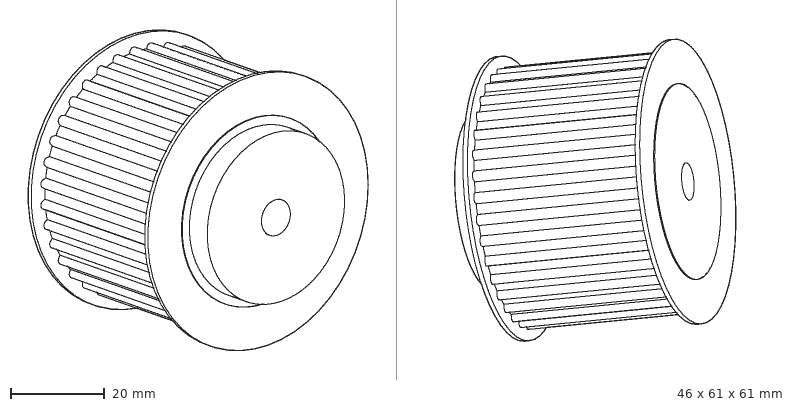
import cadquery as cq
import math


flange_span = 40.0
hub_length = 6.0
sheet_thickness = 1.05
dish_depth = 0.25

flange_diameter = 61.0
disc_diameter = 58.1
shoulder_diameter = 41.95
hub_diameter = 38.0
bore_diameter = 8.0

tooth_count = 36
tip_diameter = 56.1
tooth_height = 1.15
tip_width = 1.3
tip_radius = 0.8
flank_angle = 25.0

pitch_angle = 360.0 / tooth_count
tip_height = tip_diameter / 2
root_height = tip_height - tooth_height
flange_depth = dish_depth + sheet_thickness
toothed_length = flange_span - 2 * flange_depth
tooth_foot_depth = 0.3


def cylinder(diameter, start, length):
    """Cylinder along X that begins at X = start."""
    return cq.Workplane("YZ", origin=(start, 0, 0)).circle(diameter / 2).extrude(length)


def make_tooth():
    """One straight tooth pointing to +Z, with rounded tip corners."""
    foot_height = root_height - tooth_foot_depth
    tip_half = tip_width / 2
    foot_half = tip_half + (tip_height - foot_height) * math.tan(math.radians(flank_angle))
    outline = [
        (-foot_half, foot_height),
        (-tip_half, tip_height),
        (tip_half, tip_height),
        (foot_half, foot_height),
    ]
    start_plane = cq.Workplane("YZ", origin=(flange_depth, 0, 0))
    blank = start_plane.polyline(outline).close().extrude(toothed_length)
    return blank.faces(">Z").edges("|X").fillet(tip_radius)


def make_toothed_body():
    """Root cylinder with the teeth around it; a gap, not a tooth, is centred on +Z."""
    body = cylinder(2 * root_height, flange_depth, toothed_length)
    tooth = make_tooth()
    for index in range(tooth_count):
        body = body.union(tooth.rotate((0, 0, 0), (1, 0, 0), (index + 0.5) * pitch_angle))
    return body


def make_flange():
    """Flange at the X = 0 end: a flat disc whose rim is bent outward to X = 0."""
    disc_radius = disc_diameter / 2
    rim_radius = flange_diameter / 2
    half_section = [
        (dish_depth, 0),
        (dish_depth, disc_radius),
        (0, rim_radius),
        (sheet_thickness, rim_radius),
        (flange_depth, disc_radius),
        (flange_depth, 0),
    ]
    return cq.Workplane("XY").polyline(half_section).close().revolve(360, (0, 0, 0), (1, 0, 0))


near_flange = make_flange()
far_flange = near_flange.mirror("YZ").translate((flange_span, 0, 0))
shoulders = cylinder(shoulder_diameter, 0, flange_span)
hub = cylinder(hub_diameter, flange_span, hub_length)
bore = cylinder(bore_diameter, 0, flange_span + hub_length)

pulley = make_toothed_body().union(near_flange).union(far_flange)
result = pulley.union(shoulders).union(hub).cut(bore)